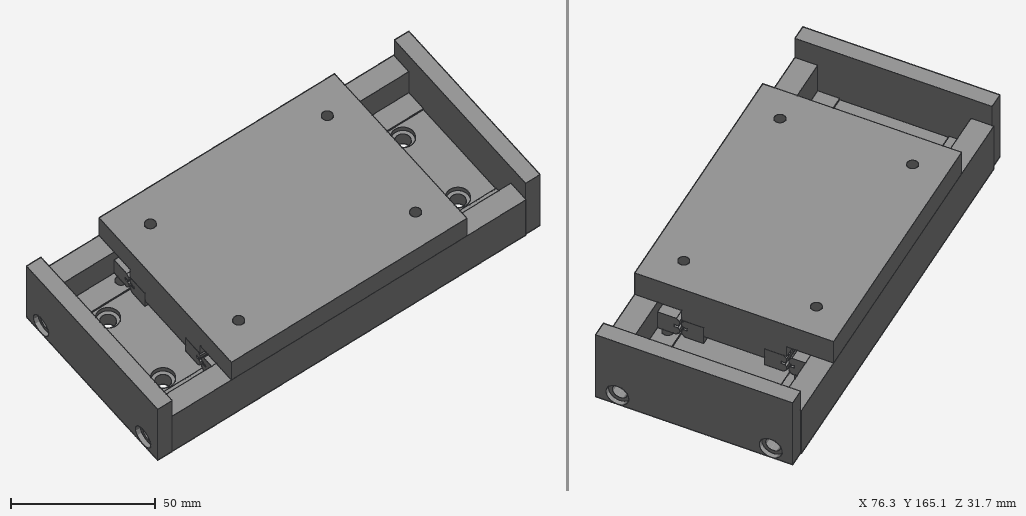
import cadquery as cq

total_width = 76.3
total_length = 165.1
total_height = 31.7

end_plate_thickness = 6.3
end_plate_height = 30.5
end_plate_side_inset = 0.3
front_plate_shift = end_plate_side_inset
end_screw_x = 29.4
end_screw_z = 4.5

base_length = total_length - 2 * end_plate_thickness
base_height = 21.1
wall_thickness = 8.8
wall_inner_x = total_width / 2 - wall_thickness
floor_half_width = 21.0
seat_height = 8.6
floor_height = 8.0
mount_hole_x = 15.8
mount_hole_y = 63.5
small_hole_x = 25.5
small_hole_diameter = 4.1

screw_hole_diameter = 5.8
counterbore_diameter = 8.8
counterbore_depth = 2.0

rail_height = 7.8
rail_width = 8.5
rail_gap = 0.8
rail_bottom = seat_height
rail_top = rail_bottom + rail_height
rail_chamfer = 1.2
vee_half_height = 1.2
relief_half_height = 0.5
relief_depth = 2.1
outer_rail_inner_x = wall_inner_x - rail_width
inner_rail_outer_x = outer_rail_inner_x - rail_gap

table_length = 101.5
tongue_bottom = 12.0
tongue_half_width = inner_rail_outer_x
tongue_core_half_width = inner_rail_outer_x - rail_width
table_hole_y = 38.1
clearance_hole_y = table_length / 2


def box_between(x_min, x_max, length, z_min, z_max):
    """Block centred along Y, given by its X and Z limits."""
    return cq.Workplane("XY").box(x_max - x_min, length, z_max - z_min).translate(
        ((x_min + x_max) / 2, 0, (z_min + z_max) / 2)
    )


def four_points(x, y):
    """Points mirrored about both the X and the Y axis."""
    return [(side * x, end * y) for side in (-1, 1) for end in (-1, 1)]


def make_base():
    base = box_between(-total_width / 2, total_width / 2, base_length, 0, base_height)
    base = base.cut(box_between(-wall_inner_x, wall_inner_x, base_length, seat_height, base_height))
    base = base.cut(box_between(-floor_half_width, floor_half_width, base_length, floor_height, seat_height))
    screw_holes = (
        cq.Workplane("XY", origin=(0, 0, floor_height))
        .pushPoints(four_points(mount_hole_x, mount_hole_y))
    )
    base = base.cut(screw_holes.circle(screw_hole_diameter / 2).extrude(-floor_height))
    base = base.cut(screw_holes.circle(counterbore_diameter / 2).extrude(-counterbore_depth))
    clearance_holes = (
        cq.Workplane("XY")
        .pushPoints(four_points(small_hole_x, clearance_hole_y))
        .circle(small_hole_diameter / 2)
        .extrude(seat_height)
    )
    return base.cut(clearance_holes)


def make_table():
    table = box_between(-total_width / 2, total_width / 2, table_length, base_height, total_height)
    tongue = box_between(-tongue_half_width, tongue_half_width, table_length, rail_top, base_height)
    core = box_between(
        -tongue_core_half_width, tongue_core_half_width, table_length, tongue_bottom, rail_top
    )
    holes = (
        cq.Workplane("XY", origin=(0, 0, base_height))
        .pushPoints(four_points(small_hole_x, table_hole_y))
        .circle(small_hole_diameter / 2)
        .extrude(total_height - base_height)
    )
    return table.union(tongue).union(core).cut(holes)


def make_end_plate(end, shift_x):
    """Plate on the -Y end (end = -1) or the +Y end (end = 1), counterbored from outside."""
    half_width = total_width / 2 - end_plate_side_inset
    plate = box_between(-half_width, half_width, end_plate_thickness, 0, end_plate_height)
    plate = plate.translate((shift_x, end * (total_length - end_plate_thickness) / 2, 0))
    outer_face = cq.Plane(
        origin=(shift_x, end * total_length / 2, end_screw_z), xDir=(1, 0, 0), normal=(0, end, 0)
    )
    screw_holes = cq.Workplane(outer_face).pushPoints([(-end_screw_x, 0), (end_screw_x, 0)])
    plate = plate.cut(screw_holes.circle(screw_hole_diameter / 2).extrude(-end_plate_thickness))
    return plate.cut(screw_holes.circle(counterbore_diameter / 2).extrude(-counterbore_depth))


def make_rail(face_x, inward):
    """Rail whose grooved face is at face_x and whose body lies towards inward (+1 or -1).

    The groove is a 90 degree vee that narrows to a relief slot.
    """
    back_x = face_x + inward * rail_width
    chamfer_x = face_x + inward * rail_chamfer
    vee_x = face_x + inward * (vee_half_height - relief_half_height)
    relief_x = face_x + inward * relief_depth
    middle_z = (rail_bottom + rail_top) / 2
    return (
        cq.Workplane("XZ")
        .moveTo(back_x, rail_bottom)
        .lineTo(chamfer_x, rail_bottom)
        .lineTo(face_x, rail_bottom + rail_chamfer)
        .lineTo(face_x, middle_z - vee_half_height)
        .lineTo(vee_x, middle_z - relief_half_height)
        .lineTo(relief_x, middle_z - relief_half_height)
        .lineTo(relief_x, middle_z + relief_half_height)
        .lineTo(vee_x, middle_z + relief_half_height)
        .lineTo(face_x, middle_z + vee_half_height)
        .lineTo(face_x, rail_top - rail_chamfer)
        .lineTo(chamfer_x, rail_top)
        .lineTo(back_x, rail_top)
        .close()
        .extrude(table_length / 2, both=True)
    )


base = make_base()
table = make_table()
end_plates = [make_end_plate(end, shift_x) for end, shift_x in ((-1, front_plate_shift), (1, 0))]
outer_rails = [make_rail(side * outer_rail_inner_x, side) for side in (-1, 1)]
inner_rails = [make_rail(side * inner_rail_outer_x, -side) for side in (-1, 1)]

bodies = [base, table, *end_plates, *outer_rails, *inner_rails]
result = cq.Compound.makeCompound([body.val() for body in bodies])